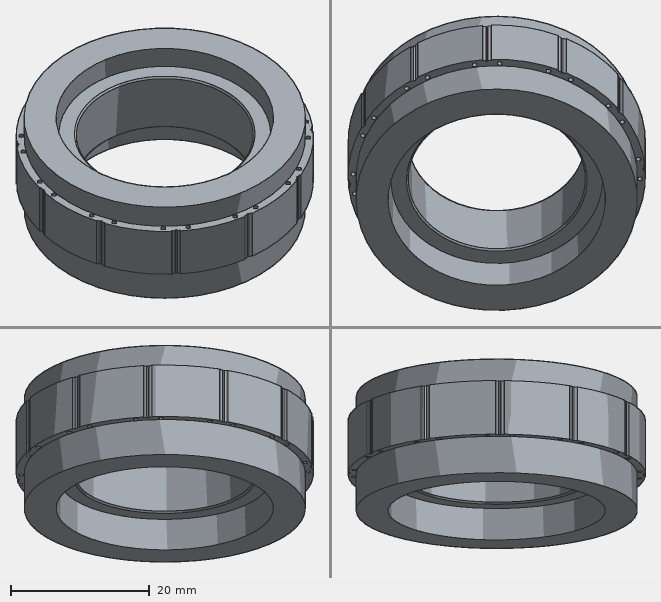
import cadquery as cq
import math

BAND_DIAMETER = 42.85
SLEEVE_DIAMETER = 40.5
SLEEVE_BORE = 31.3
SLEEVE_HEIGHT = 17.0
BAND_BOTTOM = 5.45
BAND_HEIGHT = 8.0

GROUP_COUNT = 12
GROUP_PITCH = 360 / GROUP_COUNT
FIRST_GROUP_ANGLE = GROUP_PITCH / 2

HOLE_DIAMETER = 0.7
HOLE_CIRCLE_RADIUS = 20.65
HOLE_OFFSET_ANGLE = 5.0

GROOVE_WIDTH = 1.3
GROOVE_DEPTH = 0.17
GROOVE_FILLET = 0.15
NOTCH_WIDTH = 0.35
NOTCH_DEPTH = 0.2

INNER_DIAMETER = 30.5
INNER_BORE = 25.5
INNER_BOTTOM = 4.6
INNER_HEIGHT = 9.45
INNER_CHAMFER = 0.25

BAND_RADIUS = BAND_DIAMETER / 2
FLOOR_RADIUS = BAND_RADIUS - GROOVE_DEPTH
GROUP_ANGLES = [FIRST_GROUP_ANGLE + i * GROUP_PITCH for i in range(GROUP_COUNT)]


def cylinder(diameter, height, bottom):
    """Solid cylinder on the Z axis."""
    return cq.Workplane("XY", origin=(0, 0, bottom)).circle(diameter / 2).extrude(height)


def hole_cutters():
    """Pins that cut the pair of holes beside every groove."""
    angles = [a + side * HOLE_OFFSET_ANGLE for a in GROUP_ANGLES for side in (-1, 1)]
    centers = [
        (HOLE_CIRCLE_RADIUS * math.cos(math.radians(a)), HOLE_CIRCLE_RADIUS * math.sin(math.radians(a)))
        for a in angles
    ]
    plane = cq.Workplane("XY", origin=(0, 0, BAND_BOTTOM))
    return plane.pushPoints(centers).circle(HOLE_DIAMETER / 2).extrude(BAND_HEIGHT)


def groove_cutter(angle):
    """Bar that cuts one notched groove down the full height of the band."""
    half_width = GROOVE_WIDTH / 2
    side = math.sqrt(FLOOR_RADIUS**2 - half_width**2)
    outside = BAND_RADIUS + GROOVE_DEPTH
    plane = cq.Workplane("XY", origin=(0, 0, BAND_BOTTOM))
    groove = (
        plane.moveTo(side, -half_width)
        .threePointArc((FLOOR_RADIUS, 0), (side, half_width))
        .lineTo(outside, half_width)
        .lineTo(outside, -half_width)
        .close()
        .extrude(BAND_HEIGHT)
        .edges("|Z and (not >X)")
        .fillet(GROOVE_FILLET)
    )
    notch = (
        plane.moveTo(FLOOR_RADIUS - NOTCH_DEPTH, 0)
        .lineTo(FLOOR_RADIUS, NOTCH_WIDTH / 2)
        .lineTo(outside, NOTCH_WIDTH / 2)
        .lineTo(outside, -NOTCH_WIDTH / 2)
        .lineTo(FLOOR_RADIUS, -NOTCH_WIDTH / 2)
        .close()
        .extrude(BAND_HEIGHT)
    )
    return groove.union(notch).rotate((0, 0, 0), (0, 0, 1), angle)


def make_outer_ring():
    band = cylinder(BAND_DIAMETER, BAND_HEIGHT, BAND_BOTTOM)
    ring = cylinder(SLEEVE_DIAMETER, SLEEVE_HEIGHT, 0).union(band)
    ring = ring.cut(cylinder(SLEEVE_BORE, SLEEVE_HEIGHT, 0)).cut(hole_cutters())
    for angle in GROUP_ANGLES:
        ring = ring.cut(groove_cutter(angle))
    return ring


def make_inner_ring():
    """Plain ring with both bore edges chamfered."""
    blank = cylinder(INNER_DIAMETER, INNER_HEIGHT, INNER_BOTTOM)
    ring = blank.cut(cylinder(INNER_BORE, INNER_HEIGHT, INNER_BOTTOM))
    bore_edges = ring.edges("%CIRCLE").edges(cq.selectors.RadiusNthSelector(0))
    return bore_edges.chamfer(INNER_CHAMFER)


outer_ring = make_outer_ring()
inner_ring = make_inner_ring()

result = cq.Compound.makeCompound([outer_ring.val(), inner_ring.val()])